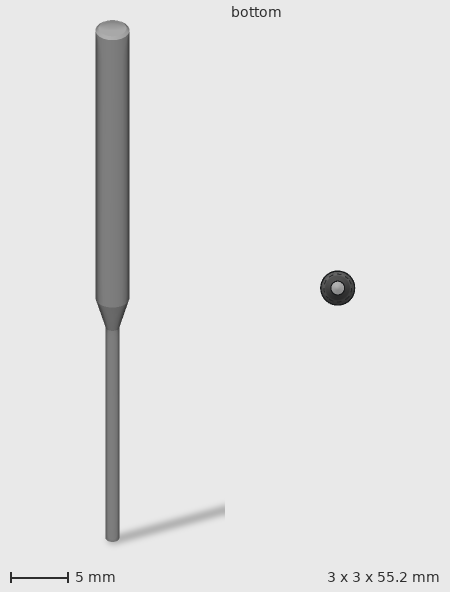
import cadquery as cq

total_length = 55.25
shank_diameter = 3.0
drill_diameter = 1.2

point_height = 0.3
joint_height = 16.0
taper_bottom = 23.05
taper_top = 26.2

chamfer_width = 0.3
chamfer_height = 0.2

shank_radius = shank_diameter / 2
drill_radius = drill_diameter / 2


def revolved_body(profile):
    """Revolve a closed (radius, height) profile about the Z axis."""
    return cq.Workplane("XZ").polyline(profile).close().revolve(360, (0, 0), (0, 1))


holder = revolved_body([
    (0, joint_height),
    (drill_radius, joint_height),
    (drill_radius, taper_bottom),
    (shank_radius, taper_top),
    (shank_radius, total_length - chamfer_height),
    (shank_radius - chamfer_width, total_length),
    (0, total_length),
])

drill = revolved_body([
    (0, 0),
    (drill_radius, point_height),
    (drill_radius, joint_height),
    (0, joint_height),
])

result = cq.Compound.makeCompound([holder.val(), drill.val()])